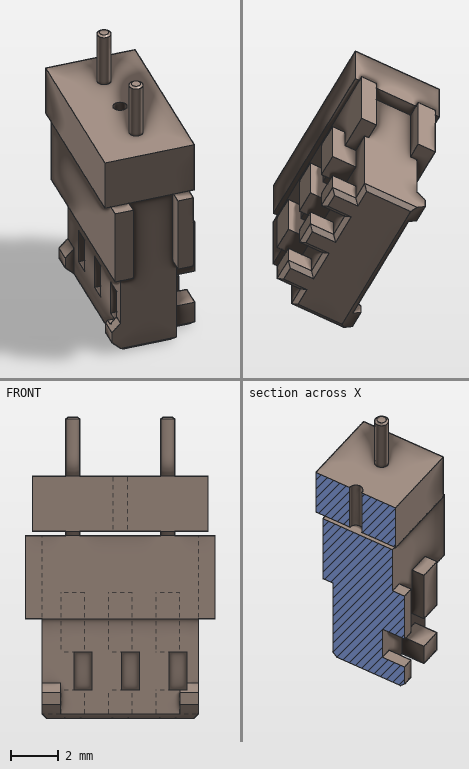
import cadquery as cq

total_height = 12.7
pitch = 2.0
positions = [-pitch, 0.0, pitch]

housing_width = 6.6
housing_front = -1.15
housing_back = 1.35
housing_top = 7.71
bottom_chamfer = 0.2

flange_width = 8.0
flange_bottom = 4.2
front_flange = (-1.65, -0.84)
back_flange = (1.15, 1.85)

block_width = 7.4
block_depth = 2 * pitch
block_height = 2.32
block_gap = 0.18
pin_diameter = 0.6
pin_chamfer = 0.1
pin_tip_height = 0.08
pin_embedment = 0.51

latch_width = 0.79
latch_reach = 0.4
latch_flat_bottom = bottom_chamfer + latch_reach
latch_flat_top = 1.1
latch_top = latch_flat_top + latch_reach

tab_width = 1.0
tab_back = 2.45
tab_bottom = 2.81
tab_top = 5.32
foot_top = 1.21

window_width = 0.75
window_bottom = 1.21
window_top = 2.81
window_depth = 0.5
window_shift = 0.43


def box(x_center, width, y_min, y_max, z_min, z_max):
    """Box given by its X centre and width and its Y and Z limits."""
    return (
        cq.Workplane("XY", origin=(x_center, (y_min + y_max) / 2, z_min))
        .rect(width, y_max - y_min)
        .extrude(z_max - z_min)
    )


def latch(x_start):
    """Sloped nose on the front wall, running in +X from x_start."""
    nose = housing_front - latch_reach
    outline = [
        (housing_front, bottom_chamfer),
        (nose, latch_flat_bottom),
        (nose, latch_flat_top),
        (housing_front, latch_top),
    ]
    return (
        cq.Workplane("YZ", origin=(x_start, 0, 0))
        .polyline(outline)
        .close()
        .extrude(latch_width)
    )


def make_housing():
    """Lower housing with flanges, feet, tabs, latches and windows."""
    body = box(0, housing_width, housing_front, housing_back, 0, housing_top)
    for x in positions:
        body = body.union(box(x, tab_width, housing_back, tab_back, 0, foot_top))
    body = body.faces("<Z").chamfer(bottom_chamfer)

    for x in positions:
        body = body.union(box(x, tab_width, housing_back, tab_back, tab_bottom, tab_top))
    for y_min, y_max in (front_flange, back_flange):
        body = body.union(box(0, flange_width, y_min, y_max, flange_bottom, housing_top))
    for x_start in (-housing_width / 2, housing_width / 2 - latch_width):
        body = body.union(latch(x_start))

    window_front = housing_front - latch_reach
    window_back = housing_front + window_depth
    for x in positions:
        body = body.cut(
            box(x + window_shift, window_width, window_front, window_back, window_bottom, window_top)
        )
    return body


def make_block():
    """Header block with a through hole at the empty middle position."""
    bottom = housing_top + block_gap
    block = box(0, block_width, -block_depth / 2, block_depth / 2, bottom, bottom + block_height)
    return block.faces(">Z").workplane(origin=(0, 0, 0)).hole(pin_diameter)


def make_pin(x):
    """Round pin with a bevelled tip, standing in the housing."""
    bottom = housing_top - pin_embedment
    return (
        cq.Workplane("XY", origin=(x, 0, bottom))
        .circle(pin_diameter / 2)
        .extrude(total_height - bottom)
        .faces(">Z")
        .chamfer(pin_tip_height, pin_chamfer)
    )


result = make_housing().union(make_block())
for pin_x in (-pitch, pitch):
    result = result.union(make_pin(pin_x))